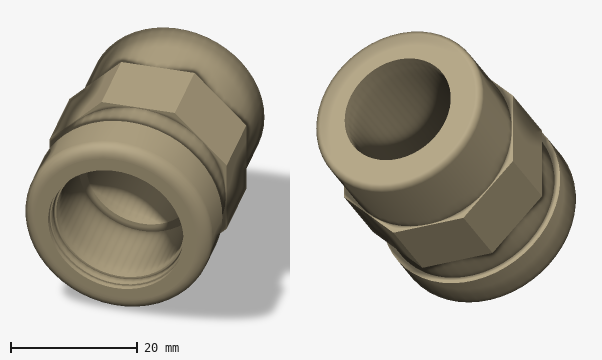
import cadquery as cq
import math

length = 38.0
collar_diameter = 30.6
collar_length = 8.0
collar_rounding = 2.0
body_diameter = 28.6
body_rounding = 1.0

octagon_sides = 8
octagon_flats = 29.0
octagon_start = 13.55
octagon_length = 11.9

mouth_diameter = 22.2
mouth_depth = 1.0
step_diameter = 21.7
step_depth = 2.5
socket_diameter = 20.9
socket_depth = 16.0
bore_diameter = 18.2


def cylinder_along_y(diameter, start, depth):
    """Solid cylinder from Y = start to Y = start + depth."""
    base = cq.Workplane("XZ", origin=(0, start, 0))
    return base.circle(diameter / 2).extrude(-depth)


def make_collar():
    collar = cylinder_along_y(collar_diameter, 0, collar_length)
    return collar.faces("<Y").edges().fillet(collar_rounding)


def make_body():
    body = cylinder_along_y(body_diameter, collar_length, length - collar_length)
    return body.faces(">Y").edges().fillet(body_rounding)


def make_octagon():
    corner_diameter = octagon_flats / math.cos(math.pi / octagon_sides)
    octagon = (
        cq.Workplane("XZ", origin=(0, octagon_start, 0))
        .polygon(octagon_sides, corner_diameter)
        .extrude(-octagon_length)
    )
    return octagon.rotate((0, 0, 0), (0, 1, 0), 180 / octagon_sides)


def make_bore():
    bore = cylinder_along_y(bore_diameter, 0, length)
    for diameter, depth in (
        (mouth_diameter, mouth_depth),
        (step_diameter, step_depth),
        (socket_diameter, socket_depth),
    ):
        bore = bore.union(cylinder_along_y(diameter, 0, depth))
    return bore


outside = make_collar().union(make_body()).union(make_octagon())
result = outside.cut(make_bore())
result = result.translate((0, -length / 2, 0))